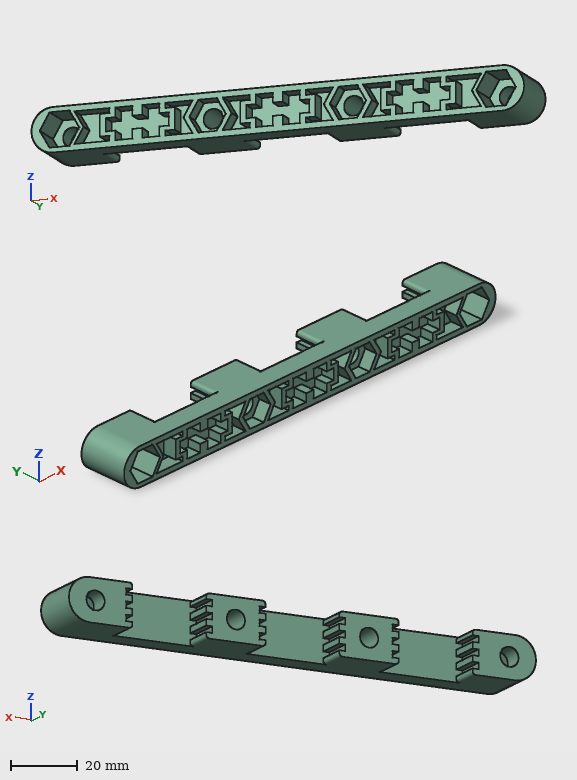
import cadquery as cq
import math

length = 158.0
depth = 18.0
height = 14.0
plate_thickness = 7.6
front_y = -depth / 2
plate_back_y = front_y + plate_thickness

window_pitch = 45.0
window_width = 25.0
window_centers = [-window_pitch, 0.0, window_pitch]
block_edge_radius = 1.1

groove_height = 2.0
groove_depth = 2.0
groove_pitch = 4.1
groove_levels = [-groove_pitch, 0.0, groove_pitch]

pocket_half_height = 5.0

end_hole_x = 70.0
inner_hole_x = window_pitch / 2
hole_diameter = 6.2
end_nut_diameter = 12.6
inner_nut_diameter = 2 * pocket_half_height / math.cos(math.radians(30))
end_nut_depth = 11.0
inner_nut_depth = 4.7

pocket_depth = 5.0
cross_half_length = 10.1
cross_arm_half_height = 2.0
cross_body_half_length = 7.1
cross_notch_half_width = 1.6
side_pocket_start = 12.0
side_pocket_lip_start = 9.0
side_pocket_lip_z = 3.5
side_pocket_tip_offset = 7.7


def box(x_min, x_max, y_min, y_max, z_min, z_max):
    """Axis-aligned box between the given limits."""
    size = (x_max - x_min, y_max - y_min, z_max - z_min)
    return cq.Workplane("XY").box(*size, centered=False).translate((x_min, y_min, z_min))


def front_prism(outline, prism_depth):
    """Prism sunk from the front face; the outline is a list of (x, z) points."""
    front = cq.Workplane("XZ", origin=(0, front_y, 0))
    return front.polyline(outline).close().extrude(-prism_depth)


def bar():
    """Full-depth bar with rounded ends."""
    front = cq.Workplane("XZ", origin=(0, front_y, 0))
    return front.slot2D(length, height).extrude(-depth)


def window(center_x):
    """Gap between two blocks, rounding the block edges and grooving the block faces."""
    half_width = window_width / 2
    half_height = height / 2
    flare = half_width + block_edge_radius
    shoulder = half_height - block_edge_radius
    cutter = (
        cq.Workplane("XZ", origin=(center_x, plate_back_y, 0))
        .moveTo(-flare, half_height)
        .radiusArc((-half_width, shoulder), block_edge_radius)
        .lineTo(-half_width, -shoulder)
        .radiusArc((-flare, -half_height), block_edge_radius)
        .lineTo(flare, -half_height)
        .radiusArc((half_width, -shoulder), block_edge_radius)
        .lineTo(half_width, shoulder)
        .radiusArc((flare, half_height), block_edge_radius)
        .close()
        .extrude(-(depth - plate_thickness))
    )
    groove_reach = half_width + groove_depth
    for level in groove_levels:
        groove = box(
            center_x - groove_reach, center_x + groove_reach,
            plate_back_y, depth / 2,
            level - groove_height / 2, level + groove_height / 2,
        )
        cutter = cutter.union(groove)
    return cutter


def cross_pocket(center_x):
    """Cross-shaped pocket with a notch in the middle of its top and bottom edges."""
    upper_right = [
        (cross_half_length, cross_arm_half_height),
        (cross_body_half_length, cross_arm_half_height),
        (cross_body_half_length, pocket_half_height),
        (cross_notch_half_width, pocket_half_height),
        (cross_notch_half_width, cross_arm_half_height),
    ]
    upper = upper_right + [(-x, z) for x, z in reversed(upper_right)]
    lower = [(-x, -z) for x, z in upper]
    return front_prism([(center_x + x, z) for x, z in upper + lower], pocket_depth)


def side_pocket(center_x, nut_x):
    """Pocket between a cross pocket and the nut at nut_x, notched around the nut's corner."""
    side = math.copysign(1, nut_x - center_x)
    tip = nut_x - side * side_pocket_tip_offset
    flank = tip + side * pocket_half_height / math.tan(math.radians(60))
    lip = center_x + side * side_pocket_lip_start
    start = center_x + side * side_pocket_start
    upper = [
        (start, side_pocket_lip_z),
        (lip, side_pocket_lip_z),
        (lip, pocket_half_height),
        (flank, pocket_half_height),
    ]
    lower = [(x, -z) for x, z in reversed(upper)]
    return front_prism(upper + [(tip, 0)] + lower, pocket_depth)


def nut_hole(center_x, nut_diameter, nut_depth):
    """Through hole with a hexagonal nut pocket in the front face."""
    front = cq.Workplane("XZ", origin=(center_x, front_y, 0))
    hole = front.circle(hole_diameter / 2).extrude(-depth)
    nut = front.polygon(6, nut_diameter).extrude(-nut_depth)
    return hole.union(nut)


result = bar()
for window_x in window_centers:
    result = result.cut(window(window_x))
    result = result.cut(cross_pocket(window_x))

for side in (-1, 1):
    end_x = side * end_hole_x
    inner_x = side * inner_hole_x
    result = result.cut(nut_hole(end_x, end_nut_diameter, end_nut_depth))
    result = result.cut(nut_hole(inner_x, inner_nut_diameter, inner_nut_depth))
    result = result.cut(side_pocket(side * window_pitch, end_x))
    result = result.cut(side_pocket(side * window_pitch, inner_x))
    result = result.cut(side_pocket(0, inner_x))